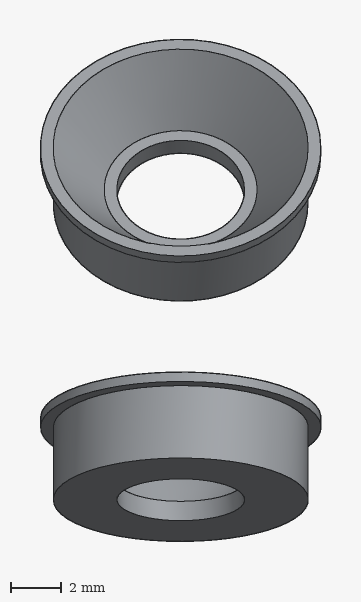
import cadquery as cq

flange_diameter = 11.0
body_diameter = 10.0
bore_diameter = 5.0
floor_diameter = 6.0
total_height = 3.4
flange_thickness = 0.4
floor_thickness = 0.8

flange_radius = flange_diameter / 2
body_radius = body_diameter / 2
bore_radius = bore_diameter / 2
floor_radius = floor_diameter / 2
cone_rim_radius = body_radius
flange_bottom = total_height - flange_thickness

section = (
    cq.Workplane("XZ")
    .moveTo(bore_radius, 0)
    .lineTo(body_radius, 0)
    .lineTo(body_radius, flange_bottom)
    .lineTo(flange_radius, flange_bottom)
    .lineTo(flange_radius, total_height)
    .lineTo(cone_rim_radius, total_height)
    .lineTo(floor_radius, floor_thickness)
    .lineTo(bore_radius, floor_thickness)
    .close()
)

result = section.revolve(360, (0, 0, 0), (0, 1, 0))